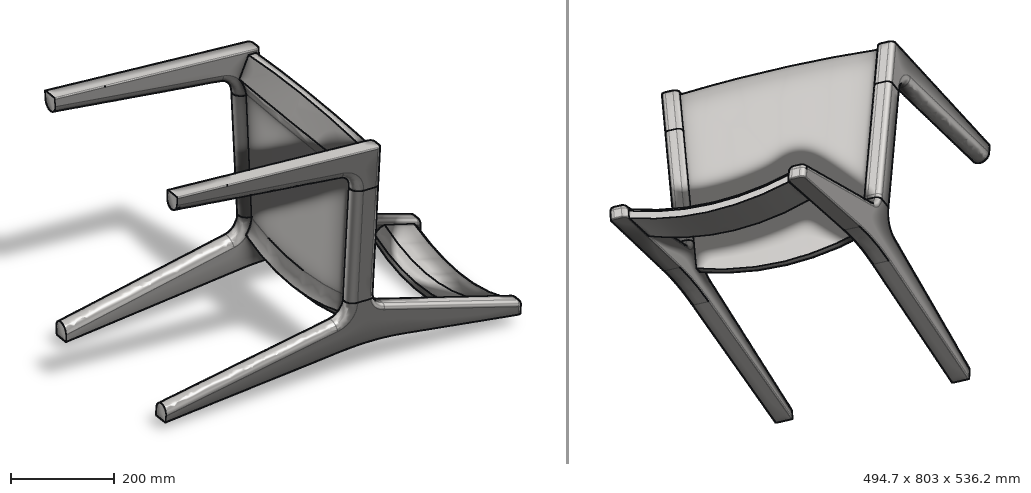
import cadquery as cq
import math


FRAME_WIDTH = 37.0
FRAME_LEAN = 4.8
FRAME_BASE_X = 184.0
BACK_HEIGHT = 803.0
LEG_BLANK_END = -16.0
FRONT_LEG_TOP = (LEG_BLANK_END, 537.0)
FRONT_LEG_CORNER = (462.0, 514.0)
POST_KNEE = (462.0, 149.0)
POST_END_FRONT = (BACK_HEIGHT, 54.5)
POST_END_REAR = (BACK_HEIGHT, 25.0)
HEEL = (465.0, 71.0)
BACK_LEG_BOTTOM = (LEG_BLANK_END, 15.0)
KNEE_RADIUS = 34.5
HEEL_RADIUS = 562.0
POST_END_RADIUS = 11.0
POST_ROUND = 10.5
EDGE_ROUND = 2.5

ROUND_RADIUS = FRAME_WIDTH / 2
ROUND_FRONT_FOOT = (LEG_BLANK_END, 520.0)
ROUND_FRONT_KNEE = (424.0, 474.5)
ROUND_BACK_KNEE = (424.0, 122.0)
ROUND_BACK_FOOT = (LEG_BLANK_END, 30.5)

FRONT_LEG_JOINT = 424.0
BACK_LEG_JOINT = 166.0

SEAT_REACH = 225.0
SEAT_EDGES = [
    ((446.0, 518.5), (6.5, -14.0), 0),
    ((432.0, 518.5), (3.0, -14.0), 0),
    ((403.0, 469.0), (10.5, -9.0), 2.5),
    ((420.0, 429.5), (6.5, -3.0), 0),
    ((420.0, 144.5), (6.5, 30.5), 2.5),
    ((403.0, 109.0), (10.5, 36.0), 0),
    ((432.0, 79.5), (3.0, 46.0), 0),
    ((446.0, 79.5), (6.5, 46.0), 0),
]

BACKREST_REACH = 193.0
BACKREST_EDGES = [
    ((791.0, 0.0), (0.0, 35.0), 0),
    ((791.0, 16.0), (0.0, 35.0), 0),
    ((783.5, 24.0), (1.0, 35.0), 0),
    ((714.0, 39.0), (6.5, 35.0), -3.0),
    ((691.0, 25.0), (6.0, 35.0), 0),
    ((688.0, 14.0), (7.0, 35.0), 0),
]


def nearest_edges(body, points):
    """Edges of a body whose centres lie nearest to the given points."""
    found = [body.edges(cq.selectors.NearestToPointSelector(point)).val() for point in points]
    return body.newObject(found)


def round_sides(body, y, z, radius):
    """Round both long edges, and those tangent to them, of the frame face at (y, z)."""
    half = FRAME_WIDTH / 2
    return nearest_edges(body, [(-half, y, z), (half, y, z)]).fillet(radius)


def midpoint(start, end):
    """Point halfway between two profile corners."""
    return [(a + b) / 2 for a, b in zip(start, end)]


def half_round(knee_radius):
    """Half-round bar along the legs and under the rail."""
    corners = [ROUND_FRONT_FOOT, ROUND_FRONT_KNEE, ROUND_BACK_KNEE, ROUND_BACK_FOOT]
    points = [cq.Vector(0, y, z) for y, z in corners]
    straight = cq.Wire.makePolygon(points)
    knees = [v for v in straight.Vertices() if v.Y > 0]
    path = straight.fillet2D(knee_radius, knees)
    start_plane = cq.Plane(points[0], xDir=(1, 0, 0), normal=points[1] - points[0])
    section = (
        cq.Workplane(start_plane)
        .moveTo(-ROUND_RADIUS, 0)
        .threePointArc((0, ROUND_RADIUS), (ROUND_RADIUS, 0))
        .close()
    )
    return section.sweep(cq.Workplane(path))


def frame_blank():
    """Whole side frame, upright and centred on X = 0."""
    outline = [
        FRONT_LEG_TOP,
        ROUND_FRONT_FOOT,
        ROUND_FRONT_KNEE,
        ROUND_BACK_KNEE,
        ROUND_BACK_FOOT,
        BACK_LEG_BOTTOM,
        HEEL,
        POST_END_REAR,
        POST_END_FRONT,
        POST_KNEE,
        FRONT_LEG_CORNER,
    ]
    body = cq.Workplane("YZ").polyline(outline).close().extrude(FRAME_WIDTH / 2, both=True)
    path_radius = KNEE_RADIUS + ROUND_RADIUS
    bends = [
        (ROUND_FRONT_KNEE, path_radius),
        (ROUND_BACK_KNEE, path_radius),
        (POST_KNEE, KNEE_RADIUS),
        (HEEL, HEEL_RADIUS),
        (POST_END_FRONT, POST_END_RADIUS),
    ]
    for (y, z), radius in bends:
        body = nearest_edges(body, [(0, y, z)]).fillet(radius)
    body = round_sides(body, *midpoint(FRONT_LEG_CORNER, POST_KNEE), POST_ROUND)
    body = round_sides(body, *midpoint(FRONT_LEG_TOP, FRONT_LEG_CORNER), EDGE_ROUND)
    body = round_sides(body, *midpoint(BACK_LEG_BOTTOM, HEEL), EDGE_ROUND)
    return body.union(half_round(path_radius))


def frame_part(low, high):
    """Stretch of the side frame between two joints."""
    size = (2 * FRAME_WIDTH, 2 * BACK_HEIGHT, high - low)
    slab = cq.Workplane("XY").box(*size, centered=(True, False, False)).translate((0, 0, low))
    return frame_blank().intersect(slab)


def placed(part, side):
    """Lean a frame part outward, keeping level faces level, on its side of the chair."""
    slope = side * math.tan(math.radians(FRAME_LEAN))
    lean = cq.Matrix([[1, 0, slope, side * FRAME_BASE_X], [0, 1, 0, 0], [0, 0, 1, 0]])
    return part.val().transformGeometry(lean)


def front_leg():
    return frame_part(FRONT_LEG_JOINT, BACK_HEIGHT)


def side_rail():
    return frame_part(BACK_LEG_JOINT, FRONT_LEG_JOINT)


def back_leg():
    return frame_part(-BACK_HEIGHT, BACK_LEG_JOINT)


def gap_between_frames():
    """Wedge-shaped space bounded by the inner faces of the two frames."""
    slope = math.tan(math.radians(FRAME_LEAN))
    base_x = FRAME_BASE_X - FRAME_WIDTH / 2
    top_z = BACK_HEIGHT
    top_x = base_x + top_z * slope
    outline = [(-base_x, 0), (base_x, 0), (top_x, top_z), (-top_x, top_z)]
    return cq.Workplane("XZ").polyline(outline).close().extrude(-BACK_HEIGHT)


def face_line(start, end, hollow):
    """Side of a panel section: straight, or an arc bent towards the material by `hollow`."""
    if hollow == 0:
        return cq.Edge.makeLine(start, end)
    inward = cq.Vector(1, 0, 0).cross(end - start).normalized()
    middle = (start + end) * 0.5 + inward * hollow
    return cq.Edge.makeThreePointArc(start, middle, end)


def curved_panel(edges, reach):
    """Panel bowed across the chair and fitted between the frames."""
    sections = []
    for x in (-reach, 0, reach):
        bow = abs(x) / reach
        points = [cq.Vector(x, y + bow * dy, z + bow * dz) for (y, z), (dy, dz), _ in edges]
        next_points = points[1:] + points[:1]
        hollows = [hollow for _, _, hollow in edges]
        sides = [face_line(*side) for side in zip(points, next_points, hollows)]
        sections.append(cq.Wire.assembleEdges(sides))
    blank = cq.Workplane(cq.Solid.makeLoft(sections))
    return blank.intersect(gap_between_frames())


def seat():
    return curved_panel(SEAT_EDGES, SEAT_REACH)


def backrest():
    return curved_panel(BACKREST_EDGES, BACKREST_REACH)


bodies = [*seat().solids().vals(), *backrest().solids().vals()]
for make_part in (front_leg, side_rail, back_leg):
    part = make_part()
    for side in (-1, 1):
        bodies.extend(placed(part, side).Solids())

result = cq.Compound.makeCompound(bodies)